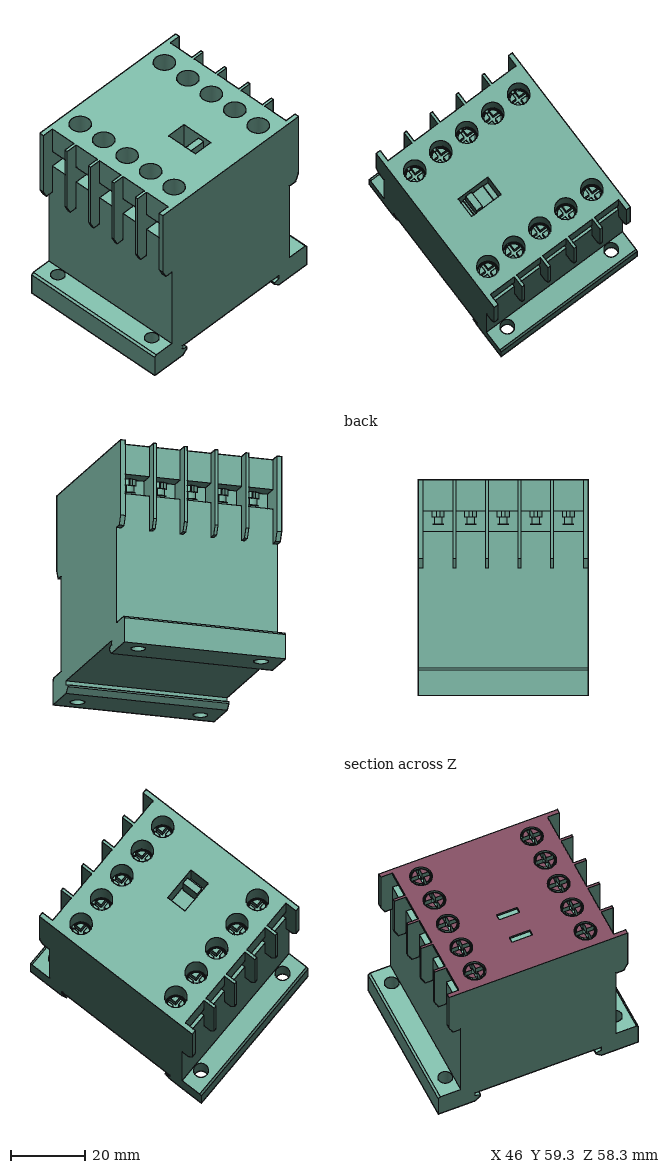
import cadquery as cq


width = 46.0
base_length = 59.3
height = 58.3
body_length = 46.0
head_length = 53.0

base_height = 7.5
base_chamfer = 0.6
slot_half_length = 18.75
slot_height = 3.55
lip_half_length = 17.1
lip_root_z = 2.45
lip_tip_top_z = 1.95
lip_tip_bottom_z = 1.4
mount_hole_diameter = 4.0
mount_hole_x = 17.55
mount_hole_y = 25.15

bay_count = 5
bay_pitch = 8.8
end_plate_thickness = 1.35
rib_thickness = 0.85
plate_bottom_z = height - 23.85
plate_chamfer_length = 1.2
plate_chamfer_height = 2.5

screw_y = 16.4
screw_well_diameter = 6.05
notch_back_y = screw_y + 2.2
notch_top_z = height - 8.5
notch_bottom_z = height - 14.0
screw_head_diameter = 5.45
screw_head_chamfer = 0.4
screw_head_top_z = notch_top_z + 0.9
screw_head_bottom_z = height - 10.1
screw_shaft_diameter = 4.85
screw_shaft_bottom_z = height - 12.1
washer_diameter = 5.3
washer_thickness = 0.05
screw_slot_width = 1.0

window_x = 7.8
window_y = -0.2
window_length_x = 10.0
window_length_y = 6.0
window_depth = 8.3
carriage_length_x = 6.7
carriage_depth = 7.1
slider_x = 9.7
slider_length_x = 1.95
slider_length_y = 4.9
slider_depth = 0.7

bay_xs = [(i - (bay_count - 1) / 2) * bay_pitch for i in range(bay_count)]
rib_xs = [x + bay_pitch / 2 for x in bay_xs[:-1]]
sides = (-1, 1)


def block(x_min, x_max, y_min, y_max, z_min, z_max):
    """Axis-aligned box between the given limits."""
    size = (x_max - x_min, y_max - y_min, z_max - z_min)
    return cq.Workplane("XY").box(*size, centered=False).translate((x_min, y_min, z_min))


def centred_block(x, y, length_x, length_y, z_min, z_max):
    """Box centred on (x, y) that spans z_min to z_max."""
    half_x = length_x / 2
    half_y = length_y / 2
    return block(x - half_x, x + half_x, y - half_y, y + half_y, z_min, z_max)


def cylinder(x, y, diameter, z_min, z_max):
    """Upright cylinder that spans z_min to z_max."""
    return cq.Workplane("XY", origin=(x, y, z_min)).circle(diameter / 2).extrude(z_max - z_min)


def extrude_along_x(points, x, thickness):
    """Extrude a closed (y, z) outline along X, centred on x."""
    profile = cq.Workplane("YZ", origin=(x - thickness / 2, 0, 0))
    return profile.polyline(points).close().extrude(thickness)


def make_base():
    """Base with chamfered top edges, a rail slot with two lips, and four mounting holes."""
    base = centred_block(0, 0, width, base_length, 0, base_height)
    base = base.faces(">Z").edges("|X").chamfer(base_chamfer)
    half_slot = [
        (slot_half_length, 0),
        (lip_half_length, lip_tip_bottom_z),
        (lip_half_length, lip_tip_top_z),
        (slot_half_length, lip_root_z),
        (slot_half_length, slot_height),
    ]
    mirrored = [(-y, z) for y, z in reversed(half_slot)]
    base = base.cut(extrude_along_x(half_slot + mirrored, 0, width))
    for x in (-mount_hole_x, mount_hole_x):
        for y in (-mount_hole_y, mount_hole_y):
            base = base.cut(cylinder(x, y, mount_hole_diameter, 0, base_height))
    return base


def make_plate(x, thickness):
    """Plate across the whole head; its lower corners are bevelled."""
    half = head_length / 2
    bevel_y = half - plate_chamfer_length
    bevel_z = plate_bottom_z + plate_chamfer_height
    outline = [
        (-half, height),
        (-half, bevel_z),
        (-bevel_y, plate_bottom_z),
        (bevel_y, plate_bottom_z),
        (half, bevel_z),
        (half, height),
    ]
    return extrude_along_x(outline, x, thickness)


def bay_limits(index):
    """Left and right X limits of a terminal bay, between its neighbouring plates."""
    inner_left = -width / 2 + end_plate_thickness
    walls_left = [inner_left] + [x + rib_thickness / 2 for x in rib_xs]
    walls_right = [x - rib_thickness / 2 for x in rib_xs] + [-inner_left]
    return walls_left[index], walls_right[index]


def make_notch(index, side):
    """Wire-entry notch in the end wall of a bay."""
    left, right = bay_limits(index)
    near, far = sorted((side * notch_back_y, side * body_length / 2))
    return block(left, right, near, far, notch_bottom_z, notch_top_z)


def make_screw(x, y):
    """Terminal screw: chamfered head with a full-depth cross slot, on a short shaft with a thin washer."""
    head = cylinder(x, y, screw_head_diameter, screw_head_bottom_z, screw_head_top_z)
    head = head.faces(">Z").edges().chamfer(screw_head_chamfer)
    shaft = cylinder(x, y, screw_shaft_diameter, screw_shaft_bottom_z, screw_head_bottom_z)
    washer_top_z = screw_shaft_bottom_z + washer_thickness
    washer = cylinder(x, y, washer_diameter, screw_shaft_bottom_z, washer_top_z)
    return head.union(shaft).union(washer)


def make_cross_slot(x, y):
    """Cross slot through the depth of a screw head."""
    limits = (screw_head_bottom_z, screw_head_top_z)
    bar_x = centred_block(x, y, screw_head_diameter, screw_slot_width, *limits)
    bar_y = centred_block(x, y, screw_slot_width, screw_head_diameter, *limits)
    return bar_x.union(bar_y)


def make_window():
    """Window cavity around a sunken carriage that carries an upright slider."""
    cavity = centred_block(
        window_x, window_y, window_length_x, window_length_y, height - window_depth, height
    )
    carriage = centred_block(
        window_x, window_y, carriage_length_x, window_length_y,
        height - window_depth, height - carriage_depth,
    )
    slider = centred_block(
        slider_x, window_y, slider_length_x, slider_length_y,
        height - window_depth, height - slider_depth,
    )
    return cavity.cut(carriage).cut(slider)


part = make_base().union(centred_block(0, 0, width, body_length, slot_height, height))
end_plate_x = (width - end_plate_thickness) / 2
for plate_x in (-end_plate_x, end_plate_x):
    part = part.union(make_plate(plate_x, end_plate_thickness))
for plate_x in rib_xs:
    part = part.union(make_plate(plate_x, rib_thickness))

for bay_index, bay_x in enumerate(bay_xs):
    for side in sides:
        terminal_y = side * screw_y
        part = part.cut(cylinder(bay_x, terminal_y, screw_well_diameter, notch_top_z, height))
        part = part.cut(make_notch(bay_index, side))
        part = part.union(make_screw(bay_x, terminal_y))
        part = part.cut(make_cross_slot(bay_x, terminal_y))

result = part.cut(make_window())